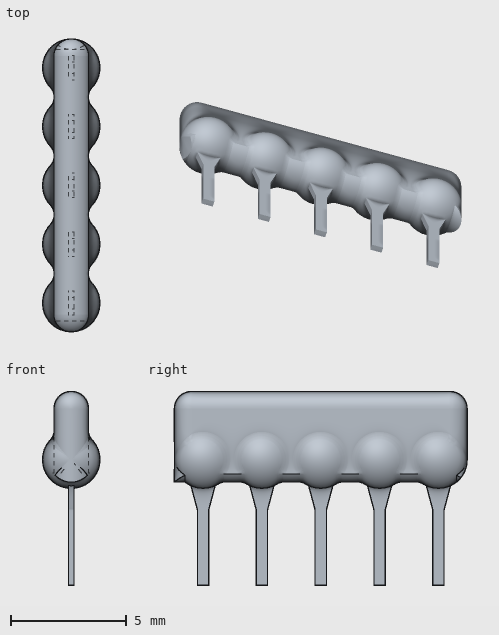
import cadquery as cq
import math

LENGTH = 12.65
BODY_THICKNESS = 1.5
TOTAL_HEIGHT = 8.38
BEAD_COUNT = 5
PITCH = 2.54
BEAD_RADIUS = 1.244
BEAD_HEIGHT = 5.43
UNDERSIDE_RADIUS = 0.97
BLEND_RADIUS = 0.52
BLEND_SINK = 0.001
BLEND_ROOT = 0.8
CAP_BLEND_SWEEP = 82
BLEND_SECTIONS = 7

LEAD_WIDTH = 0.5
LEAD_THICKNESS = 0.25
SHOULDER_WIDTH = 1.05
SHOULDER_TOP = 4.3
TAPER_BOTTOM = 3.27

END_RADIUS = BODY_THICKNESS / 2
HALF_LENGTH = LENGTH / 2
END_CENTRE = HALF_LENGTH - END_RADIUS
CROWN_HEIGHT = TOTAL_HEIGHT - END_RADIUS
UNDERSIDE_DEPTH = math.sqrt(UNDERSIDE_RADIUS**2 - END_RADIUS**2)
UNDERSIDE_BOTTOM = BEAD_HEIGHT - UNDERSIDE_RADIUS
BEAD_POSITIONS = [(i - (BEAD_COUNT - 1) / 2) * PITCH for i in range(BEAD_COUNT)]
LAST_BEAD = BEAD_POSITIONS[-1]
CORNER_RADIUS = HALF_LENGTH - LAST_BEAD
UNDERSIDE_ANGLE = math.acos(END_RADIUS / UNDERSIDE_RADIUS)
BALL_OFFSET = BLEND_RADIUS - BLEND_SINK
BALL_REACH = BEAD_RADIUS + BALL_OFFSET
WALL_BLEND_RADIUS = math.sqrt(BALL_REACH**2 - (END_RADIUS + BALL_OFFSET) ** 2)
WALL_BLEND_START = math.asin(UNDERSIDE_DEPTH / WALL_BLEND_RADIUS)
CAP_BLEND_START = math.acos((END_CENTRE - LAST_BEAD) / WALL_BLEND_RADIUS)

ORIGIN = cq.Vector(0, 0, 0)
X_AXIS = cq.Vector(1, 0, 0)
Y_AXIS = cq.Vector(0, 1, 0)
Z_AXIS = cq.Vector(0, 0, 1)


def make_sphere(radius, y, z):
    """Sphere with poles along Y and its seam at the top, hidden inside the body."""
    return (
        cq.Workplane("YZ")
        .moveTo(-radius, 0)
        .threePointArc((0, radius), (radius, 0))
        .close()
        .revolve(360, ORIGIN.toTuple(), X_AXIS.toTuple())
        .translate((0, y, z))
    )


def make_side_outline():
    """Body seen along X: only the lower +Y corner is rounded."""
    diagonal = CORNER_RADIUS * math.cos(math.pi / 4)
    return (
        cq.Workplane("YZ")
        .moveTo(-HALF_LENGTH, TOTAL_HEIGHT)
        .lineTo(-HALF_LENGTH, BEAD_HEIGHT - CORNER_RADIUS)
        .lineTo(LAST_BEAD, BEAD_HEIGHT - CORNER_RADIUS)
        .threePointArc(
            (LAST_BEAD + diagonal, BEAD_HEIGHT - diagonal),
            (HALF_LENGTH, BEAD_HEIGHT),
        )
        .lineTo(HALF_LENGTH, TOTAL_HEIGHT)
        .close()
        .extrude(END_RADIUS, both=True)
    )


def make_cross_section():
    """Body seen along Y: flat sides over a rounded underside."""
    shoulder = BEAD_HEIGHT - UNDERSIDE_DEPTH
    return (
        cq.Workplane("XZ")
        .moveTo(-END_RADIUS, CROWN_HEIGHT)
        .lineTo(-END_RADIUS, shoulder)
        .threePointArc((0, UNDERSIDE_BOTTOM), (END_RADIUS, shoulder))
        .lineTo(END_RADIUS, CROWN_HEIGHT)
        .close()
        .extrude(HALF_LENGTH, both=True)
    )


def make_body():
    """Thin wall with round ends, under a fully rounded top."""
    wall = (
        cq.Workplane("XY")
        .workplane(offset=UNDERSIDE_BOTTOM)
        .slot2D(LENGTH, BODY_THICKNESS, 90)
        .extrude(CROWN_HEIGHT - UNDERSIDE_BOTTOM)
        .intersect(make_cross_section())
        .intersect(make_side_outline())
    )
    crown = (
        cq.Workplane("XZ")
        .center(0, CROWN_HEIGHT)
        .circle(END_RADIUS)
        .extrude(2 * END_CENTRE)
        .translate((0, END_CENTRE, 0))
    )
    body = wall.union(crown)
    for y in (-END_CENTRE, END_CENTRE):
        body = body.union(make_sphere(END_RADIUS, y, CROWN_HEIGHT))
    return body


def make_lead(y):
    """Flat lead that widens to a shoulder inside the bead."""
    return (
        cq.Workplane("YZ")
        .moveTo(y - LEAD_WIDTH / 2, 0)
        .lineTo(y + LEAD_WIDTH / 2, 0)
        .lineTo(y + LEAD_WIDTH / 2, TAPER_BOTTOM)
        .lineTo(y + SHOULDER_WIDTH / 2, SHOULDER_TOP)
        .lineTo(y + SHOULDER_WIDTH / 2, BEAD_HEIGHT)
        .lineTo(y - SHOULDER_WIDTH / 2, BEAD_HEIGHT)
        .lineTo(y - SHOULDER_WIDTH / 2, SHOULDER_TOP)
        .lineTo(y - LEAD_WIDTH / 2, TAPER_BOTTOM)
        .close()
        .extrude(LEAD_THICKNESS / 2, both=True)
    )


def blend_section(on_body, normal, toward):
    """Section of the concave blend: the arc of a ball that touches both body and bead.

    The point and the section are relative to the bead centre. The ball slides along
    `toward` until it touches the bead.
    """
    ball = on_body + normal * BALL_OFFSET
    ball = ball + toward * math.sqrt(BALL_REACH**2 - ball.Length**2)
    to_body = normal * -1
    to_bead = ball.normalized() * -1
    to_root = (to_body + to_bead).normalized()
    body_contact = ball + to_body * BLEND_RADIUS
    bead_contact = ball + to_bead * BLEND_RADIUS
    root = ball + to_root * BLEND_ROOT
    return cq.Wire.assembleEdges([
        cq.Edge.makeThreePointArc(body_contact, ball + to_root * BLEND_RADIUS, bead_contact),
        cq.Edge.makeLine(bead_contact, root),
        cq.Edge.makeLine(root, body_contact),
    ])


def loft_sections(section, sweep):
    """Solid through the sections found at even steps from zero to the sweep angle."""
    step = sweep / (BLEND_SECTIONS - 1)
    return cq.Solid.makeLoft([section(i * step) for i in range(BLEND_SECTIONS)])


def profile_normal(angle):
    """Direction across the body, `angle` below horizontal."""
    return cq.Vector(math.cos(angle), 0, -math.sin(angle))


def make_wall_blend(start, end):
    """Blend against the flat +X side, between two angles about the bead (0 = +Y, counted upward)."""
    section = blend_section(cq.Vector(END_RADIUS, 0, 0), X_AXIS, Y_AXIS)
    ring = cq.Solid.revolve(section, [], math.degrees(end - start), ORIGIN, X_AXIS)
    return ring.rotate(ORIGIN, X_AXIS, math.degrees(start))


def make_edge_blend():
    """Blend around the lower +X edge of the body, on the +Y side of the bead."""
    edge = cq.Vector(END_RADIUS, 0, -UNDERSIDE_DEPTH)
    return loft_sections(
        lambda angle: blend_section(edge, profile_normal(angle), Y_AXIS), UNDERSIDE_ANGLE
    )


def make_underside_blend():
    """Blend against the rounded underside, on the +Y side of the bead."""
    start = profile_normal(UNDERSIDE_ANGLE)
    section = blend_section(start * UNDERSIDE_RADIUS, start, Y_AXIS)
    sweep = 180 - 2 * math.degrees(UNDERSIDE_ANGLE)
    return cq.Solid.revolve(section, [], sweep, ORIGIN, Y_AXIS)


def make_cap_blend():
    """Blend from the +X side around the +Y end cap, running out at the tip."""
    axis = cq.Vector(0, END_CENTRE - LAST_BEAD, 0)

    def section(angle):
        outward = cq.Vector(math.cos(angle), math.sin(angle), 0)
        return blend_section(axis + outward * END_RADIUS, outward, Z_AXIS)

    return loft_sections(section, math.radians(CAP_BLEND_SWEEP))


def mirror_all(blends):
    """The blends swapped between the +Y and -Y sides of the bead."""
    return [blend.mirror("XZ") for blend in blends]


def make_inner_blends():
    """Lower blends on the +Y side of a bead."""
    edge = make_edge_blend()
    return [edge, edge.mirror("YZ"), make_underside_blend()]


def make_bead_blends():
    """All blends of a middle bead, relative to its centre."""
    inner = make_inner_blends()
    wall = make_wall_blend(-WALL_BLEND_START, math.pi + WALL_BLEND_START)
    return [*inner, *mirror_all(inner), wall, wall.mirror("YZ")]


def make_end_blends():
    """Blends of the bead at the +Y end; its lower outer side stays sharp."""
    inner = mirror_all(make_inner_blends())
    wall = make_wall_blend(CAP_BLEND_START, math.pi + WALL_BLEND_START)
    cap = make_cap_blend()
    return [*inner, wall, wall.mirror("YZ"), cap, cap.mirror("YZ")]


def place_blends():
    """Blends of every bead; the -Y end mirrors the +Y end."""
    middle = make_bead_blends()
    end = make_end_blends()
    groups = [mirror_all(end)] + [middle] * (BEAD_COUNT - 2) + [end]
    return [
        blend.translate(cq.Vector(0, y, BEAD_HEIGHT))
        for y, group in zip(BEAD_POSITIONS, groups)
        for blend in group
    ]


body = make_body()
for y in BEAD_POSITIONS:
    body = body.union(make_sphere(BEAD_RADIUS, y, BEAD_HEIGHT))
for y in BEAD_POSITIONS:
    body = body.union(make_lead(y))
result = cq.Workplane(body.val().fuse(*place_blends()).Solids()[0])